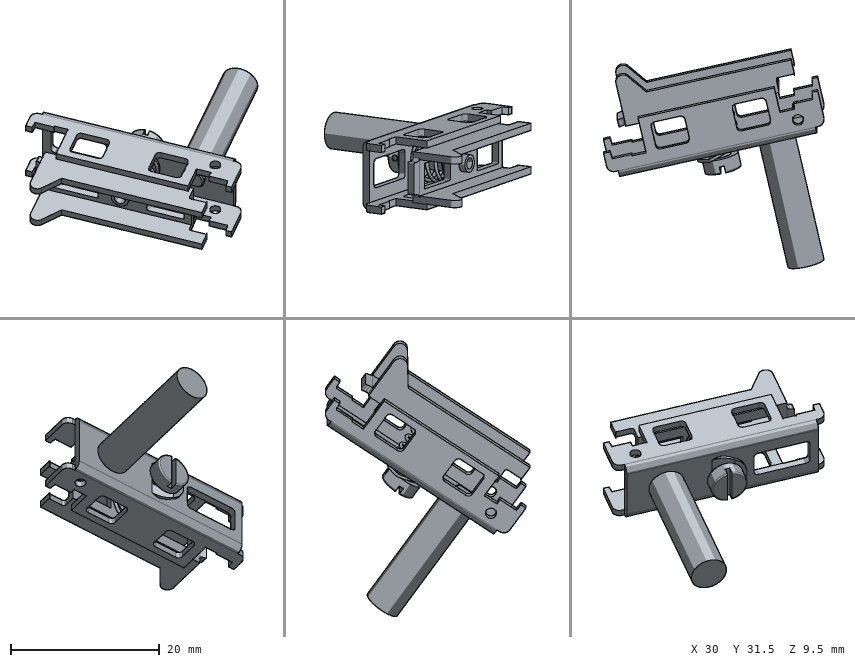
import cadquery as cq
import math


SHEET = 1.0
FRONT_EDGE_Y = -7.5

BRACKET_LENGTH = 30.0
BRACKET_HEIGHT = 9.5
PLATE_LENGTH = 27.2
BEND_RADIUS = 0.99
END_X = BRACKET_LENGTH / 2
CORNER_RADIUS = 1.0
TONGUE_X = 9.4
LEFT_HOOK_X = -14.0
LEFT_HOOK_Y = -3.8
LEFT_STEP_X = -11.3
LEFT_NOTCH_Y = (-2.8, -2.6)
RIGHT_HOOK_X = 14.1
RIGHT_HOOK_Y = -5.8
RIGHT_STEP_X = 11.45
RIGHT_NOTCH_Y = (-4.8, -4.05)
HOOK_TAPER = 0.1

FLANGE_WINDOW_X = 5.6
FLANGE_WINDOW_Y = -4.6
FLANGE_WINDOW_SIZE = (4.65, 3.8)
FLANGE_WINDOW_RADIUS = 0.6
PIN_HOLE_AT = (11.55, -2.5)
PIN_HOLE_DIAMETER = 1.45

PLATE_WINDOW_X = (-12.4, -4.45)
PLATE_WINDOW_HEIGHT = 4.0
PLATE_WINDOW_RADIUS = 0.6

ROD_X = 8.0
ROD_RADIUS = 2.5
ROD_LENGTH = 18.0
ROD_TIP_RADIUS = 1.6
ROD_TIP_HEIGHT = 2.1
ROD_TIP_LENGTH = 0.7
ROD_TIP_CHAMFER = 0.2

SLIDER_BACK_Y = -6.5
SLIDER_FRONT_Y = -10.5
SLIDER_HEIGHT = 7.0
SLIDER_X = (-11.3, 12.4)
CLAW_TIP_Y = -13.5
CLAW_RADIUS = 1.0
CLAW_ROOT_X = -7.55
WEB_END_X = 9.85
NOTCH_Y = -8.5
NOTCH_RADIUS = 0.35
NOTCH_LIP = 0.2

WEB_WINDOWS_X = ((-9.95, -3.4), (3.5, 8.85))
WEB_WINDOW_HEIGHT = 3.55
WEB_WINDOW_RADIUS = 0.2

TAB_END_X = -12.3
TAB_END_FILLET = 0.2
TAB_RISE = 0.2
TAB_ROOT_RADIUS = 0.42
TAB_HALF_HEIGHT = 2.25

HEAD_RADIUS = 2.5
HEAD_Y = (1.0, 3.0)
HEAD_FILLET = 0.2
DRIVE_SLOT_WIDTH = 0.65
DRIVE_SLOT_DEPTH = 1.0
DIMPLE_RADIUS = 0.4
DIMPLE_Y = 1.9
DIMPLE_DEPTH = 0.2
SHANK_RADIUS = 1.5
COLLAR_RADIUS = 1.75
COLLAR_START_Y = -5.1
TIP_RADIUS = 1.2
TIP_END_Y = -8.45
TIP_HOLE_RADIUS = 0.75
TIP_HOLE_DEPTH = 1.5
TIP_CONE_DEPTH = 0.45

WASHER_RADIUS = 3.1
WASHER_THICKNESS = 0.42
WASHER_BEND_X = -1.4
WASHER_REACH_X = 1.5

SPRING_RADIUS = 3.2
WIRE_RADIUS = 0.23
RING_GRINDING = 0.03
COIL_PITCH = 1.39
COIL_TURNS = 3.5
COIL_START = 1.12


def box_between(x_range, y_range, z_range):
    size = [high - low for low, high in (x_range, y_range, z_range)]
    middle = [(low + high) / 2 for low, high in (x_range, y_range, z_range)]
    return cq.Workplane("XY").box(*size).translate(tuple(middle))


def rod_along_y(radius, start_y, end_y, x=0.0):
    low = min(start_y, end_y)
    rod = cq.Solid.makeCylinder(radius, abs(end_y - start_y), cq.Vector(x, low, 0), cq.Vector(0, 1, 0))
    return cq.Workplane(obj=rod)


def rounded_window(x_range, y_range, height, radius):
    window = box_between(x_range, y_range, (-height / 2, height / 2))
    return window.edges("|Y").fillet(radius)


def mirrored_pair(outline, outer_z):
    """Sheet of one thickness below outer_z, together with its mirror image in Z."""
    sheet = outline.extrude(SHEET).translate((0, 0, outer_z - SHEET))
    return sheet.union(sheet.mirror("XY"))


def back_plate():
    half_length = PLATE_LENGTH / 2
    half_height = BRACKET_HEIGHT / 2
    plate = box_between((-half_length, half_length), (-SHEET, 0), (-half_height, half_height))
    plate = plate.edges(">Y and |X").fillet(BEND_RADIUS)
    plate_depth = (-2 * SHEET, SHEET)
    window = rounded_window(PLATE_WINDOW_X, plate_depth, PLATE_WINDOW_HEIGHT, PLATE_WINDOW_RADIUS)
    return plate.cut(window)


def bracket_flanges():
    corner_offset = CORNER_RADIUS * (1 - math.sqrt(0.5))
    outline = (
        cq.Workplane("XY")
        .moveTo(-END_X + CORNER_RADIUS, -SHEET)
        .lineTo(END_X - CORNER_RADIUS, -SHEET)
        .threePointArc((END_X - corner_offset, -SHEET - corner_offset), (END_X, -SHEET - CORNER_RADIUS))
        .lineTo(END_X, RIGHT_HOOK_Y)
        .lineTo(RIGHT_HOOK_X + HOOK_TAPER, RIGHT_HOOK_Y)
        .lineTo(RIGHT_HOOK_X, RIGHT_NOTCH_Y[0])
        .lineTo(RIGHT_STEP_X, RIGHT_NOTCH_Y[0])
        .lineTo(RIGHT_STEP_X, RIGHT_NOTCH_Y[1])
        .lineTo(TONGUE_X, RIGHT_NOTCH_Y[1])
        .lineTo(TONGUE_X, FRONT_EDGE_Y)
        .lineTo(-TONGUE_X, FRONT_EDGE_Y)
        .lineTo(-TONGUE_X, LEFT_NOTCH_Y[1])
        .lineTo(LEFT_STEP_X, LEFT_NOTCH_Y[1])
        .lineTo(LEFT_STEP_X, LEFT_NOTCH_Y[0])
        .lineTo(LEFT_HOOK_X, LEFT_NOTCH_Y[0])
        .lineTo(LEFT_HOOK_X - HOOK_TAPER, LEFT_HOOK_Y)
        .lineTo(-END_X, LEFT_HOOK_Y)
        .lineTo(-END_X, -SHEET - CORNER_RADIUS)
        .threePointArc((-END_X + corner_offset, -SHEET - corner_offset), (-END_X + CORNER_RADIUS, -SHEET))
        .close()
    )
    flanges = mirrored_pair(outline, BRACKET_HEIGHT / 2)
    windows = (
        cq.Workplane("XY")
        .pushPoints([(side * FLANGE_WINDOW_X, FLANGE_WINDOW_Y) for side in (-1, 1)])
        .rect(*FLANGE_WINDOW_SIZE)
        .extrude(BRACKET_HEIGHT, both=True)
        .edges("|Z")
        .fillet(FLANGE_WINDOW_RADIUS)
    )
    pin_hole = (
        cq.Workplane("XY")
        .center(*PIN_HOLE_AT)
        .circle(PIN_HOLE_DIAMETER / 2)
        .extrude(BRACKET_HEIGHT, both=True)
    )
    return flanges.cut(windows).cut(pin_hole)


def rod_with_tip():
    rod = rod_along_y(ROD_RADIUS, 0, ROD_LENGTH, ROD_X)
    tip_end_y = -SHEET - ROD_TIP_LENGTH
    tip = rod_along_y(ROD_TIP_RADIUS, tip_end_y, 0, ROD_X).faces("<Y").chamfer(ROD_TIP_CHAMFER)
    flats = box_between(
        (ROD_X - ROD_TIP_RADIUS, ROD_X + ROD_TIP_RADIUS),
        (tip_end_y, 0),
        (-ROD_TIP_HEIGHT / 2, ROD_TIP_HEIGHT / 2),
    )
    return rod.union(tip.intersect(flats))


def slider_flanges():
    left_x, right_x = SLIDER_X
    claw_x = left_x + CLAW_RADIUS
    claw_y = CLAW_TIP_Y + CLAW_RADIUS
    root_dx = CLAW_ROOT_X - claw_x
    root_dy = SLIDER_FRONT_Y - claw_y
    tangent_angle = math.atan2(root_dy, root_dx) - math.acos(CLAW_RADIUS / math.hypot(root_dx, root_dy))
    tangent_point = (
        claw_x + CLAW_RADIUS * math.cos(tangent_angle),
        claw_y + CLAW_RADIUS * math.sin(tangent_angle),
    )
    outline = (
        cq.Workplane("XY")
        .moveTo(left_x, SLIDER_BACK_Y)
        .lineTo(left_x, claw_y)
        .threePointArc((claw_x, CLAW_TIP_Y), tangent_point)
        .lineTo(CLAW_ROOT_X, SLIDER_FRONT_Y)
        .lineTo(right_x, SLIDER_FRONT_Y)
        .lineTo(right_x, NOTCH_Y + NOTCH_LIP)
        .radiusArc((right_x - NOTCH_LIP, NOTCH_Y), NOTCH_LIP)
        .lineTo(WEB_END_X + NOTCH_RADIUS, NOTCH_Y)
        .radiusArc((WEB_END_X, NOTCH_Y + NOTCH_RADIUS), NOTCH_RADIUS)
        .lineTo(WEB_END_X, SLIDER_BACK_Y)
        .close()
    )
    return mirrored_pair(outline, SLIDER_HEIGHT / 2)


def slider_web():
    web_y = (SLIDER_BACK_Y - SHEET, SLIDER_BACK_Y)
    half_height = SLIDER_HEIGHT / 2 - SHEET
    web = box_between((SLIDER_X[0], WEB_END_X), web_y, (-half_height, half_height))
    for window_x in WEB_WINDOWS_X:
        web = web.cut(rounded_window(window_x, web_y, WEB_WINDOW_HEIGHT, WEB_WINDOW_RADIUS))
    return web


def slider_tab():
    root_x = SLIDER_X[0]
    root_half_height = TAB_HALF_HEIGHT + TAB_ROOT_RADIUS
    neck_x = root_x - TAB_ROOT_RADIUS
    bent_strip = (
        cq.Workplane("XY")
        .polyline([
            (root_x, SLIDER_BACK_Y),
            (TAB_END_X, SLIDER_BACK_Y + TAB_RISE),
            (TAB_END_X, SLIDER_BACK_Y + TAB_RISE - SHEET),
            (root_x, SLIDER_BACK_Y - SHEET),
        ])
        .close()
        .extrude(root_half_height, both=True)
    )
    front_outline = (
        cq.Workplane("XZ")
        .moveTo(root_x, root_half_height)
        .radiusArc((neck_x, TAB_HALF_HEIGHT), TAB_ROOT_RADIUS)
        .lineTo(TAB_END_X, TAB_HALF_HEIGHT)
        .lineTo(TAB_END_X, -TAB_HALF_HEIGHT)
        .lineTo(neck_x, -TAB_HALF_HEIGHT)
        .radiusArc((root_x, -root_half_height), TAB_ROOT_RADIUS)
        .close()
        .extrude(-SLIDER_FRONT_Y)
        .edges("|Y and <X")
        .fillet(TAB_END_FILLET)
    )
    return bent_strip.intersect(front_outline)


def screw():
    head_bottom, head_top = HEAD_Y
    head = rod_along_y(HEAD_RADIUS, head_bottom, head_top).faces(">Y").edges().fillet(HEAD_FILLET)
    drive_slot = box_between(
        (-DRIVE_SLOT_WIDTH / 2, DRIVE_SLOT_WIDTH / 2),
        (head_top - DRIVE_SLOT_DEPTH, head_top),
        (-HEAD_RADIUS, HEAD_RADIUS),
    )
    dimple = (
        cq.Workplane("YZ", origin=(-HEAD_RADIUS, DIMPLE_Y, 0))
        .circle(DIMPLE_RADIUS)
        .extrude(DIMPLE_DEPTH)
    )
    shank = rod_along_y(SHANK_RADIUS, SLIDER_BACK_Y, head_bottom)
    collar = rod_along_y(COLLAR_RADIUS, SLIDER_BACK_Y, COLLAR_START_Y)
    tip = rod_along_y(TIP_RADIUS, TIP_END_Y, SLIDER_BACK_Y)
    return head.cut(drive_slot).cut(dimple).union(shank).union(collar).union(tip)


def tip_hole():
    hole_bottom = TIP_END_Y + TIP_HOLE_DEPTH
    return (
        cq.Workplane("XY")
        .polyline([
            (0, TIP_END_Y),
            (TIP_HOLE_RADIUS, TIP_END_Y),
            (TIP_HOLE_RADIUS, hole_bottom),
            (0, hole_bottom + TIP_CONE_DEPTH),
        ])
        .close()
        .revolve(360, (0, 0, 0), (0, 1, 0))
    )


def lock_washer():
    top_y = HEAD_Y[0]
    slope = top_y / (WASHER_REACH_X - WASHER_BEND_X)
    underside_reach_x = WASHER_REACH_X - WASHER_THICKNESS / slope
    bent_strip = (
        cq.Workplane("XY")
        .polyline([
            (-WASHER_RADIUS, top_y),
            (WASHER_BEND_X, top_y),
            (WASHER_REACH_X, 0),
            (underside_reach_x, 0),
            (WASHER_BEND_X, top_y - WASHER_THICKNESS),
            (-WASHER_RADIUS, top_y - WASHER_THICKNESS),
        ])
        .close()
        .extrude(WASHER_RADIUS, both=True)
    )
    return bent_strip.intersect(rod_along_y(WASHER_RADIUS, 0, top_y))


def spring():
    """Helical spring with closed end rings, ground flat against plate and web."""
    coil_radius = SPRING_RADIUS - WIRE_RADIUS
    path = cq.Wire.makeHelix(COIL_PITCH, COIL_PITCH * COIL_TURNS, coil_radius)
    coil = (
        cq.Workplane("XZ", origin=(coil_radius, 0, 0))
        .circle(WIRE_RADIUS)
        .sweep(cq.Workplane(obj=path), isFrenet=True)
        .rotate((0, 0, 0), (0, 0, 1), -90)
        .rotate((0, 0, 0), (1, 0, 0), 90)
        .translate((0, -COIL_START, 0))
    )
    ring_inset = WIRE_RADIUS - RING_GRINDING
    body = coil
    for ring_y in (-SHEET - ring_inset, SLIDER_BACK_Y + ring_inset):
        ring = cq.Solid.makeTorus(coil_radius, WIRE_RADIUS, cq.Vector(0, ring_y, 0), cq.Vector(0, 1, 0))
        body = body.union(cq.Workplane(obj=ring))
    return body.intersect(rod_along_y(2 * SPRING_RADIUS, SLIDER_BACK_Y, -SHEET))


screw_hole = rod_along_y(SHANK_RADIUS, -SHEET, 0)
bracket = back_plate().cut(screw_hole).union(bracket_flanges()).union(rod_with_tip())

slider = slider_flanges().union(slider_web()).union(slider_tab())
slider = slider.union(screw()).cut(tip_hole()).union(lock_washer()).union(spring())

result = cq.Compound.makeCompound([bracket.solids().val(), slider.solids().val()])